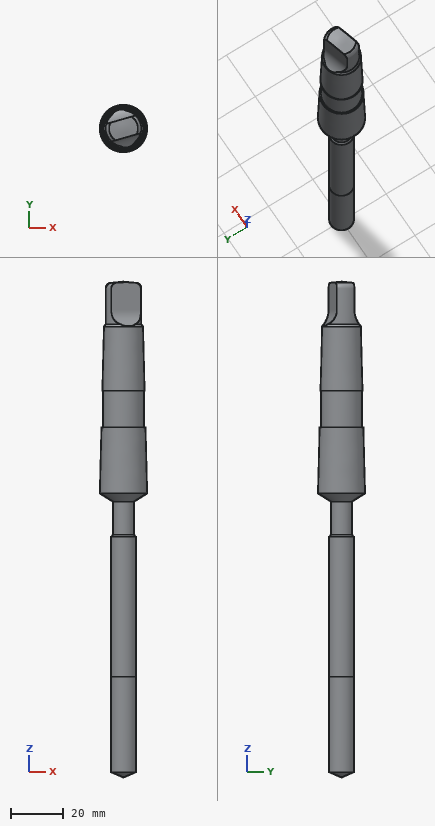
import cadquery as cq
import math

total_length = 187.3

rod_diameter = 9.5
point_height = 2.0
tip_length = 38.0
rod_top = 91.6

neck_diameter = 8.0
neck_step_height = 0.7

taper_large_diameter = 18.0
taper_ratio = 0.05
taper_bottom = 107.3
taper_length = 63.0
taper_top = taper_bottom + taper_length
end_cone_height = 3.2

waist_diameter = 15.5
waist_bottom = 132.2
waist_top = 146.1

tang_diameter = 13.5
tang_thickness = 7.0
tang_angle = 16.0
tang_shoulder_height = 1.0
flat_bottom = 176.5
runout_radius = 6.5
crown_height = 0.5
crown_radius = 5.5
tang_edge_radius = 2.2


def taper_radius(z):
    """Radius of the taper at height z."""
    return (taper_large_diameter - taper_ratio * (z - taper_bottom)) / 2


def make_cutting_tip():
    """Plain rod end with a shallow conical point."""
    radius = rod_diameter / 2
    outline = (
        cq.Workplane("XZ")
        .lineTo(radius, point_height)
        .lineTo(radius, tip_length)
        .lineTo(0, tip_length)
        .close()
    )
    return outline.revolve(360, (0, 0), (0, 1))


def make_shank_blank():
    """Turned shank, from the joint up to the crowned tang."""
    rod_radius = rod_diameter / 2
    neck_radius = neck_diameter / 2
    waist_radius = waist_diameter / 2
    tang_radius = tang_diameter / 2
    crown_edge_z = total_length - crown_height

    arc_center_r = tang_radius - tang_edge_radius
    rim_angle = math.acos((crown_radius - arc_center_r) / tang_edge_radius)
    arc_start_z = crown_edge_z - tang_edge_radius * math.sin(rim_angle)
    arc_middle = (
        arc_center_r + tang_edge_radius * math.cos(rim_angle / 2),
        arc_start_z + tang_edge_radius * math.sin(rim_angle / 2),
    )

    outline = (
        cq.Workplane("XZ")
        .moveTo(0, tip_length)
        .lineTo(rod_radius, tip_length)
        .lineTo(rod_radius, rod_top - neck_step_height)
        .lineTo(neck_radius, rod_top)
        .lineTo(neck_radius, taper_bottom - end_cone_height)
        .lineTo(taper_radius(taper_bottom), taper_bottom)
        .lineTo(taper_radius(waist_bottom), waist_bottom)
        .lineTo(waist_radius, waist_bottom)
        .lineTo(waist_radius, waist_top)
        .lineTo(taper_radius(waist_top), waist_top)
        .lineTo(taper_radius(taper_top), taper_top)
        .lineTo(tang_radius, taper_top + tang_shoulder_height)
        .lineTo(tang_radius, arc_start_z)
        .threePointArc(arc_middle, (crown_radius, crown_edge_z))
        .lineTo(0, total_length)
        .close()
    )
    return outline.revolve(360, (0, 0), (0, 1))


def make_tang_cutter(side):
    """Cutter for one tang flat (side is +1 or -1), with a concave run-out below the flat."""
    flat_y = tang_thickness / 2
    outer_y = flat_y + runout_radius
    diagonal = runout_radius * math.sqrt(0.5)
    outline = (
        cq.Workplane("YZ")
        .moveTo(side * flat_y, total_length)
        .lineTo(side * flat_y, flat_bottom)
        .threePointArc(
            (side * (outer_y - diagonal), flat_bottom - diagonal),
            (side * outer_y, flat_bottom - runout_radius),
        )
        .lineTo(side * outer_y, total_length)
        .close()
    )
    cutter = outline.extrude(taper_large_diameter / 2, both=True)
    return cutter.rotate((0, 0, 0), (0, 0, 1), tang_angle)


def make_shank():
    """Turned shank with the two tang flats milled away."""
    shank = make_shank_blank()
    for side in (-1, 1):
        shank = shank.cut(make_tang_cutter(side))
    return shank


cutting_tip = make_cutting_tip()
shank = make_shank()

result = cq.Compound.makeCompound([cutting_tip.val(), shank.val()])